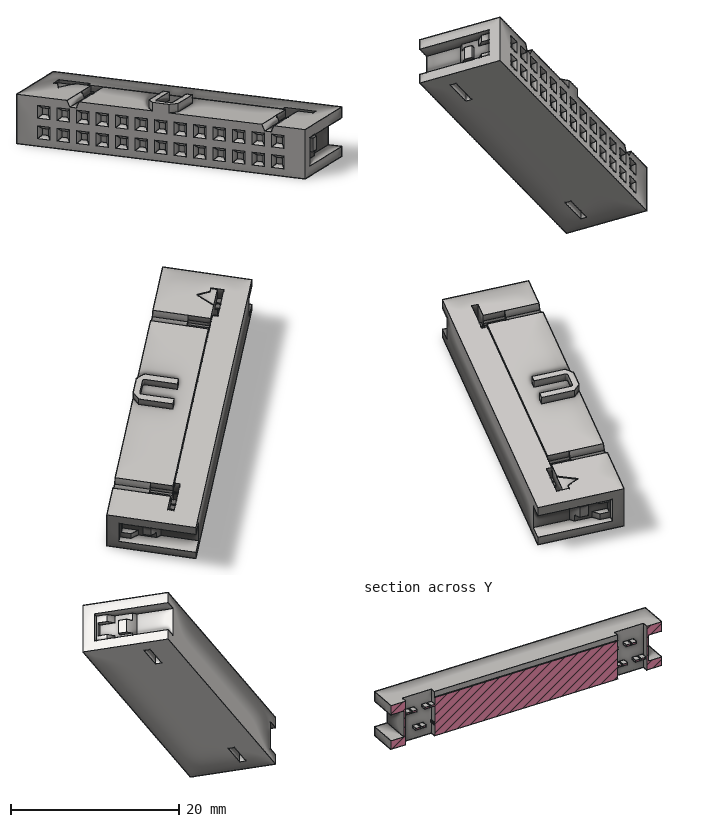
import cadquery as cq

LENGTH = 37.6
DEPTH = 10.8
TOTAL_HEIGHT = 7.2
KEY_HEIGHT = 1.05
HEIGHT = TOTAL_HEIGHT - KEY_HEIGHT

COLUMNS = 13
ROWS = 2
SOCKET_ROW_LENGTH = 30.5
SOCKET_PITCH = SOCKET_ROW_LENGTH / (COLUMNS - 1)
SOCKET_MID_Z = 3.0
SOCKET_MOUTH = 1.58
SOCKET_FLOOR = 0.8
SOCKET_DEPTH = 0.5

KEY_WIDTH = 3.8
KEY_LENGTH = 4.95
KEY_WALL = 0.8
KEY_CHAMFER = 0.83
KEY_CORNER_RADIUS = 0.3

SEAM_Y = 7.0
SEAM_GAP = 0.1
SEAM_DEPTH = 0.75
WIRE_SLOT_INNER_X = 12.7
WIRE_SLOT_OUTER_X = 16.75
WIRE_SLOT_WIDTH = 0.8
SLOT_BACK_Y = SEAM_Y + WIRE_SLOT_WIDTH

CONTACT_COUNT = COLUMNS * ROWS
CONTACT_PITCH = SOCKET_PITCH / 2
BLADE_WIDTH = 1.45
BLADE_SLIT = 0.15
BLADE_THICKNESS = 0.3

GROOVE_X = (-11.43, 13.95)
GROOVE_WIDTH = 1.58
GROOVE_FLOOR = 0.83
GROOVE_DEPTH = 0.8
GROOVE_STEP_Y = 4.3
WELL_WALL_DEPTH = 0.95
WELL_FACET = 0.23
WELL_FLOOR_DROP = 0.1
WELL_DEPTH = WELL_WALL_DEPTH + WELL_FACET + WELL_FLOOR_DROP

MARK_DEPTH = 0.15
MARK_TIP = (-15.45, 4.75)
MARK_HALF_WIDTH = 1.15
MARK_NOTCH_WIDTH = 0.6
MARK_NOTCH_LENGTH = 0.8

WINDOW_FRONT_Y = 1.45
WINDOW_BOTTOM_Z = 1.25
WINDOW_HEIGHT = 2 * (SOCKET_MID_Z - WINDOW_BOTTOM_Z)
WINDOW_DEPTH = 1.75
WINDOW_FLOOR_X = -LENGTH / 2 + WINDOW_DEPTH
LATCH_BAND = 1.7
RAMP_SLOPE = 0.9
RAMP_START_Y = 6.25
LAND_Y = 5.8
TOOTH_Y = 5.23
TOOTH_FRONT_Y = 4.2
SHOULDER_START_Y = 3.57
SHOULDER_Y = 2.82
BAND_FRONT_Y = 1.65
LAND_X = WINDOW_FLOOR_X - RAMP_SLOPE * (RAMP_START_Y - LAND_Y)
TOOTH_X = WINDOW_FLOOR_X - RAMP_SLOPE * (RAMP_START_Y - TOOTH_Y)
SHOULDER_X = LAND_X - RAMP_SLOPE * (SHOULDER_START_Y - SHOULDER_Y)


def box(x0, x1, y0, y1, z0, z1):
    """Block between the given limits."""
    return cq.Workplane("XY").box(x1 - x0, y1 - y0, z1 - z0, centered=False).translate((x0, y0, z0))


def prism_z(points, z0, z1):
    """XY outline extruded from z0 up to z1."""
    return cq.Workplane("XY").workplane(offset=z0).polyline(points).close().extrude(z1 - z0)


def prism_y(points, y0, y1):
    """XZ outline extruded from y0 back to y1."""
    return cq.Workplane("XZ").workplane(offset=-y0).polyline(points).close().extrude(y0 - y1)


def sockets():
    """Blind square sockets that taper inward from the front face."""
    centres = [
        ((column - (COLUMNS - 1) / 2) * SOCKET_PITCH, SOCKET_MID_Z + (row - (ROWS - 1) / 2) * SOCKET_PITCH)
        for column in range(COLUMNS)
        for row in range(ROWS)
    ]
    socket = (
        cq.Workplane("XZ").rect(SOCKET_MOUTH, SOCKET_MOUTH)
        .workplane(offset=-SOCKET_DEPTH).rect(SOCKET_FLOOR, SOCKET_FLOOR).loft(ruled=True).val()
    )
    return cq.Workplane("XY").newObject([socket.translate(cq.Vector(x, 0, z)) for x, z in centres]).combine()


def key():
    """U-shaped key, open to the rear, with chamfered front corners."""
    half = KEY_WIDTH / 2
    outline = [
        (-half + KEY_CHAMFER, 0),
        (half - KEY_CHAMFER, 0),
        (half, KEY_CHAMFER),
        (half, KEY_LENGTH),
        (-half, KEY_LENGTH),
        (-half, KEY_CHAMFER),
    ]
    inner = half - KEY_WALL
    opening = box(-inner, inner, KEY_WALL, KEY_LENGTH, HEIGHT, TOTAL_HEIGHT)
    opening = opening.edges("|Z and <Y").fillet(KEY_CORNER_RADIUS)
    return prism_z(outline, HEIGHT, TOTAL_HEIGHT).cut(opening)


def blades():
    """Slit contact blades bridging the wire slots."""
    blade_set = cq.Workplane("XY")
    leg = (BLADE_WIDTH - BLADE_SLIT) / 2
    for index in range(CONTACT_COUNT):
        x = (index - (CONTACT_COUNT - 1) / 2) * CONTACT_PITCH
        row_offset = SOCKET_PITCH / 2 if index % ROWS == 0 else -SOCKET_PITCH / 2
        z = SOCKET_MID_Z + row_offset - BLADE_THICKNESS / 2
        for leg_x in (x - BLADE_WIDTH / 2, x + BLADE_SLIT / 2):
            blade_set = blade_set.add(
                box(leg_x, leg_x + leg, SEAM_Y, SLOT_BACK_Y, z, z + BLADE_THICKNESS)
            )
    return blade_set.combine()


def wire_slots():
    """Slots through the full height near both ends, leaving the blades in place."""
    left = box(-WIRE_SLOT_OUTER_X, -WIRE_SLOT_INNER_X, SEAM_Y, SLOT_BACK_Y, 0, HEIGHT)
    right = left.translate((WIRE_SLOT_OUTER_X + WIRE_SLOT_INNER_X, 0, 0))
    return left.union(right).cut(blades())


def seam():
    """Narrow gap along the top between the two wire slots."""
    return box(
        -WIRE_SLOT_INNER_X, WIRE_SLOT_INNER_X, SEAM_Y, SEAM_Y + SEAM_GAP, HEIGHT - SEAM_DEPTH, HEIGHT
    )


def groove(x):
    """Sloped-wall groove at the front that drops into a deeper faceted well at the rear."""
    half = GROOVE_WIDTH / 2
    front_outline = [
        (x - half, HEIGHT),
        (x - GROOVE_FLOOR / 2, HEIGHT - GROOVE_DEPTH),
        (x + GROOVE_FLOOR / 2, HEIGHT - GROOVE_DEPTH),
        (x + half, HEIGHT),
    ]
    facet_z = HEIGHT - WELL_WALL_DEPTH
    well_side = [
        (half, HEIGHT),
        (half, facet_z),
        (half - WELL_FACET, facet_z - WELL_FACET),
        (half - 2 * WELL_FACET, HEIGHT - WELL_DEPTH),
    ]
    well_outline = [(x - dx, z) for dx, z in well_side] + [(x + dx, z) for dx, z in reversed(well_side)]
    front = prism_y(front_outline, 0, GROOVE_STEP_Y)
    return front.union(prism_y(well_outline, GROOVE_STEP_Y, SEAM_Y))


def pin_one_mark():
    """Shallow arrow recess at the left wire slot."""
    tip_x, tip_y = MARK_TIP
    arrow = prism_z(
        [(tip_x - MARK_HALF_WIDTH, SEAM_Y), (tip_x, tip_y), (tip_x + MARK_HALF_WIDTH, SEAM_Y)],
        HEIGHT - MARK_DEPTH, HEIGHT,
    )
    notch = box(
        -WIRE_SLOT_OUTER_X, -WIRE_SLOT_OUTER_X + MARK_NOTCH_WIDTH,
        SEAM_Y - MARK_NOTCH_LENGTH, SEAM_Y, HEIGHT - MARK_DEPTH, HEIGHT,
    )
    return arrow.union(notch)


def latch_window():
    """Left-end window, open to the rear, with the latch shape left standing in it."""
    z0 = WINDOW_BOTTOM_Z
    z1 = WINDOW_BOTTOM_Z + WINDOW_HEIGHT
    band_z0 = SOCKET_MID_Z - LATCH_BAND / 2
    band_z1 = SOCKET_MID_Z + LATCH_BAND / 2
    window = box(-LENGTH / 2, WINDOW_FLOOR_X, WINDOW_FRONT_Y, DEPTH, z0, z1)
    land = prism_z(
        [
            (WINDOW_FLOOR_X, RAMP_START_Y),
            (LAND_X, LAND_Y),
            (LAND_X, WINDOW_FRONT_Y),
            (WINDOW_FLOOR_X, WINDOW_FRONT_Y),
        ],
        z0, z1,
    )
    tooth = prism_z(
        [
            (WINDOW_FLOOR_X, RAMP_START_Y),
            (TOOTH_X, TOOTH_Y),
            (TOOTH_X, TOOTH_FRONT_Y),
            (WINDOW_FLOOR_X, TOOTH_FRONT_Y),
        ],
        band_z0, band_z1,
    )
    shoulder = prism_z(
        [
            (LAND_X, SHOULDER_START_Y),
            (SHOULDER_X, SHOULDER_Y),
            (SHOULDER_X, WINDOW_FRONT_Y),
            (LAND_X, WINDOW_FRONT_Y),
        ],
        z0, z1,
    )
    band = box(SHOULDER_X, LAND_X, BAND_FRONT_Y, SHOULDER_START_Y, band_z0, band_z1)
    return window.cut(land).cut(tooth).cut(shoulder.cut(band))


result = box(-LENGTH / 2, LENGTH / 2, 0, DEPTH, 0, HEIGHT)
result = result.union(key())
result = result.cut(sockets())
result = result.cut(wire_slots())
result = result.cut(seam())
for groove_x in GROOVE_X:
    result = result.cut(groove(groove_x))
result = result.cut(pin_one_mark())
left_window = latch_window()
result = result.cut(left_window)
result = result.cut(left_window.mirror("YZ"))